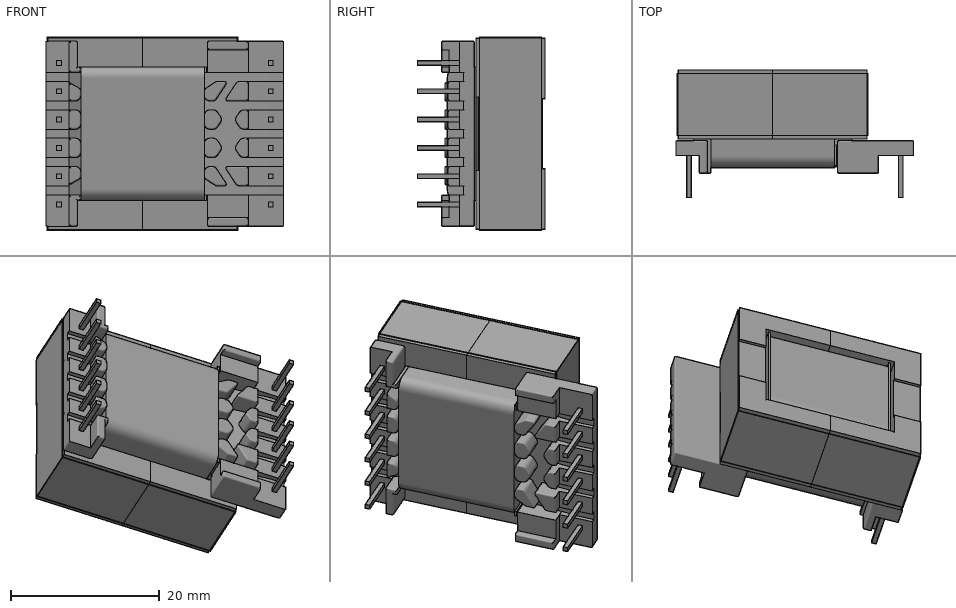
import cadquery as cq
import math


core_half_length = 12.72
core_half_height = 12.865
core_half_depth = 4.655
window_half_length = 9.0
window_half_height = 9.0
leg_half_height = 4.96
leg_back_y = 0.2
back_recess_y = 4.33
front_recess_y = -back_recess_y
back_recess_half_height = 4.7
tape_thickness = 0.12
tape_half_length = core_half_length + tape_thickness
tape_half_height = core_half_height + tape_thickness
tape_half_width = 4.15

winding_half_length = 8.3
winding_half_height = window_half_height
winding_back_y = back_recess_y
winding_front_y = -8.52
winding_corner_radius = 1.5
tube_wall = 0.8

shelf_back_y = -4.87
post_base_y = -5.07
groove_floor_y = -6.32
shelf_front_y = -6.89
block_front_y = -8.26
flange_front_y = -8.2
left_post_front_y = -8.85
right_post_front_y = -8.38
wall_front_y = -9.27
pin_tip_y = -12.535

shelf_half_height = 12.46
left_end_x = -13.025
right_end_x = 18.985
flange_thickness = 0.27
wall_outer_x = -9.87
wall_inner_x = -8.73
block_inner_x = 8.73
block_outer_x = 14.24
lip_height = 1.18
groove_ramp_x = 16.94
channel_half_height = 8.26
edge_radius = 0.2
wall_corner_radius = 0.33
block_corner_radius = 0.22
end_corner_radius = 0.22

left_floor_inner_y = -5.45
right_floor_inner_y = -5.4
plate_end_x = 10.65
plate_back_slope = math.tan(math.radians(30))

pin_pitch = 3.81
pins_per_row = 6
pin_size = 0.64
left_pin_x = -11.25
right_pin_x = 17.25
groove_width = 1.2
post_half_width = (pin_pitch - groove_width) / 2
inner_post_z = pin_pitch / 2
outer_post_z = 3 * pin_pitch / 2
post_round = 0.75
sharp_post_round = 0.25
slanted_post_round = 0.6
middle_point_x = 10.76
outer_point_x = 12.35
point_length = 0.9
slanted_post_side_z = 6.0
left_slant_end_z = 6.88
middle_slant_end_x = 9.9
slot_inner_x = 9.75
slot_outer_x = 11.0
slot_slant_run = 1.72

pin_heights = [(i - (pins_per_row - 1) / 2) * pin_pitch for i in range(pins_per_row)]
groove_heights = [(i - (pins_per_row - 2) / 2) * pin_pitch for i in range(pins_per_row - 1)]


def box(x1, x2, y1, y2, z1, z2):
    """Box between two opposite corners."""
    low = (min(x1, x2), min(y1, y2), min(z1, z2))
    size = (abs(x2 - x1), abs(y2 - y1), abs(z2 - z1))
    return cq.Workplane().box(*size, centered=False).translate(low)


def centred_box(x1, x2, y1, y2, half_height):
    """Box that is symmetric about Z = 0."""
    return box(x1, x2, y1, y2, -half_height, half_height)


def profile_prism(points, half_height):
    """Outline in X and Y, extruded to both sides of Z = 0."""
    return cq.Workplane().polyline(points).close().extrude(half_height, both=True)


def front_plane(y):
    """Sketch plane at the given Y, with X to the right, Z up and -Y outwards."""
    return cq.Workplane("XZ", origin=(0, y, 0))


def mirrored_in_z(shape):
    """The shape together with its mirror image in Z."""
    return shape.union(shape.mirror("XY"))


def make_core_half(side):
    """E-shaped half whose centre leg lies near the front; side is -1 or +1."""
    end_x = side * core_half_length
    yoke_x = side * window_half_length
    half = centred_box(0, end_x, -core_half_depth, core_half_depth, core_half_height)
    half = half.cut(centred_box(0, yoke_x, -core_half_depth, core_half_depth, window_half_height))
    half = half.union(centred_box(0, end_x, front_recess_y, leg_back_y, leg_half_height))
    half = half.cut(centred_box(yoke_x, end_x, -core_half_depth, front_recess_y, leg_half_height))
    return half.cut(
        centred_box(yoke_x, end_x, back_recess_y, core_half_depth, back_recess_half_height)
    )


def make_tape():
    outer = centred_box(
        -tape_half_length, tape_half_length, -tape_half_width, tape_half_width, tape_half_height
    )
    inner = centred_box(
        -core_half_length, core_half_length, -tape_half_width, tape_half_width, core_half_height
    )
    return outer.cut(inner)


def make_tube(half_length):
    """Solid tube body around the centre leg, before the leg hole is cut."""
    return centred_box(
        -half_length,
        half_length,
        front_recess_y - tube_wall,
        leg_back_y + tube_wall,
        leg_half_height + tube_wall,
    )


def make_winding():
    coil = centred_box(
        -winding_half_length,
        winding_half_length,
        winding_front_y,
        winding_back_y,
        winding_half_height,
    )
    coil = coil.edges("|X").fillet(winding_corner_radius)
    return coil.cut(make_tube(winding_half_length))


def make_spool():
    """Tube through the winding with a flange at each end, opened where the wires pass."""
    flange_outer_x = winding_half_length + flange_thickness
    spool = make_tube(flange_outer_x)
    for side in (-1, 1):
        spool = spool.union(
            centred_box(
                side * winding_half_length,
                side * flange_outer_x,
                flange_front_y,
                winding_back_y,
                winding_half_height,
            )
        )
    for side, inner_y in ((-1, left_floor_inner_y), (1, right_floor_inner_y)):
        spool = spool.cut(
            centred_box(
                side * winding_half_length,
                side * flange_outer_x,
                inner_y,
                flange_front_y,
                channel_half_height,
            )
        )
    return spool


def make_floor_plates():
    """Plates that slope from the winding out to the shelves, seated on the core."""
    plates = cq.Workplane()
    recess_x = plate_end_x - (front_recess_y - shelf_back_y) / plate_back_slope
    for side, outer_x, inner_y in (
        (-1, wall_outer_x, left_floor_inner_y),
        (1, groove_ramp_x, right_floor_inner_y),
    ):
        plate_end = (side * plate_end_x, shelf_back_y)
        front_points = [
            (side * winding_half_length, inner_y),
            (outer_x, groove_floor_y),
            (outer_x, shelf_back_y),
        ]
        wide = profile_prism(
            front_points
            + [
                plate_end,
                (side * plate_end_x, -core_half_depth),
                (side * winding_half_length, -core_half_depth),
            ],
            winding_half_height,
        )
        narrow = profile_prism(
            front_points
            + [
                plate_end,
                (side * recess_x, front_recess_y),
                (side * winding_half_length, front_recess_y),
            ],
            leg_half_height,
        )
        plates = plates.union(wide).union(narrow)
    return plates


def make_shelf(end_x, inner_x, inner_corner_radius):
    """Shelf that holds one row of pins, with its upright corners and back rim rounded."""
    shelf = centred_box(end_x, inner_x, shelf_back_y, shelf_front_y, shelf_half_height)
    inner_side, end_side = ("<X", ">X") if inner_x < end_x else (">X", "<X")
    shelf = shelf.edges(f"|Y and {inner_side}").fillet(inner_corner_radius)
    shelf = shelf.edges(f"|Y and {end_side}").fillet(end_corner_radius)
    return shelf.faces(">Y").edges().fillet(edge_radius)


def make_left_shelf():
    shelf = make_shelf(left_end_x, wall_inner_x, wall_corner_radius)
    shelf = shelf.cut(
        profile_prism(
            [
                (wall_outer_x, groove_floor_y),
                (wall_outer_x, shelf_front_y),
                (wall_inner_x, shelf_front_y),
                (-winding_half_length, left_floor_inner_y),
            ],
            channel_half_height,
        )
    )
    for z in groove_heights:
        shelf = shelf.cut(
            box(
                left_end_x, wall_outer_x, groove_floor_y, shelf_front_y,
                z - groove_width / 2, z + groove_width / 2,
            )
        )
    return shelf


def make_right_shelf():
    shelf = make_shelf(right_end_x, block_inner_x, block_corner_radius)
    floor = [
        (right_end_x, groove_floor_y),
        (groove_ramp_x, groove_floor_y),
        (winding_half_length, right_floor_inner_y),
        (winding_half_length, shelf_front_y),
        (right_end_x, shelf_front_y),
    ]
    for z in groove_heights:
        shelf = shelf.cut(profile_prism(floor, groove_width / 2).translate((0, 0, z)))
    basin = centred_box(0, block_outer_x, 0, shelf_front_y, channel_half_height)
    return shelf.cut(profile_prism(floor, channel_half_height).intersect(basin))


def make_left_walls():
    """L-shaped end walls that stand beside the channel on the left."""
    wall = (
        front_plane(post_base_y)
        .moveTo(wall_outer_x, channel_half_height)
        .lineTo(-winding_half_length, channel_half_height)
        .lineTo(-winding_half_length, winding_half_height)
        .lineTo(wall_inner_x, winding_half_height)
        .lineTo(wall_inner_x, shelf_half_height)
        .lineTo(wall_outer_x, shelf_half_height)
        .close()
        .extrude(post_base_y - wall_front_y)
    )
    outer_corner = cq.selectors.NearestToPointSelector(
        (wall_inner_x, (shelf_back_y + wall_front_y) / 2, shelf_half_height)
    )
    wall = wall.edges(outer_corner).fillet(wall_corner_radius)
    wall = wall.faces("<Y").edges().fillet(edge_radius)
    return mirrored_in_z(wall)


def make_right_blocks():
    """Blocks at both ends of the right shelf, each with a raised outer lip."""
    block = box(
        block_inner_x, block_outer_x, post_base_y, block_front_y,
        channel_half_height, shelf_half_height,
    )
    lip = box(
        block_inner_x, block_outer_x, shelf_front_y, wall_front_y,
        shelf_half_height - lip_height, shelf_half_height,
    )
    block = block.edges("|Y and <X and >Z").fillet(block_corner_radius)
    lip = lip.edges("|Y and <X and >Z").fillet(block_corner_radius)
    lip = lip.faces("<Y").edges().fillet(edge_radius)
    return mirrored_in_z(block.union(lip))


def make_post(corners, front_y):
    """Post rising from inside the floor plate; each corner is (x, z, radius), and 0 keeps it sharp."""
    height = post_base_y - front_y
    post = front_plane(post_base_y).polyline([(x, z) for x, z, _ in corners]).close().extrude(height)
    for x, z, radius in corners:
        if radius > 0:
            corner = cq.selectors.NearestToPointSelector((x, post_base_y - height / 2, z))
            post = post.edges(corner).fillet(radius)
    return post.faces("<Y").edges().fillet(edge_radius)


def make_round_posts():
    """Blunt and pointed posts beside the two middle pin pairs."""
    low = inner_post_z - post_half_width
    high = inner_post_z + post_half_width
    left = make_post(
        [
            (wall_outer_x, low, 0),
            (-winding_half_length, low, post_round),
            (-winding_half_length, high, post_round),
            (wall_outer_x, high, 0),
        ],
        left_post_front_y,
    )
    middle = make_post(
        [
            (winding_half_length, low, post_round),
            (middle_point_x - point_length, low, post_round),
            (middle_point_x, inner_post_z, post_round),
            (middle_point_x - point_length, high, post_round),
            (winding_half_length, high, post_round),
        ],
        right_post_front_y,
    )
    outer = make_post(
        [
            (block_outer_x, low, 0),
            (outer_point_x + point_length, low, post_round),
            (outer_point_x, inner_post_z, post_round),
            (outer_point_x + point_length, high, post_round),
            (block_outer_x, high, 0),
        ],
        right_post_front_y,
    )
    return mirrored_in_z(left.union(middle).union(outer))


def make_slanted_posts():
    """Posts beside the outer pin pairs, with a slanted wire slot between middle and outer post."""
    low = outer_post_z - post_half_width
    high = outer_post_z + post_half_width
    left = make_post(
        [
            (wall_outer_x, low, 0),
            (-winding_half_length, low, post_round),
            (-winding_half_length, slanted_post_side_z, slanted_post_round),
            (wall_outer_x, left_slant_end_z, 0),
        ],
        left_post_front_y,
    )
    middle = make_post(
        [
            (winding_half_length, low, post_round),
            (slot_inner_x, low, slanted_post_round),
            (slot_inner_x + slot_slant_run, high, sharp_post_round),
            (middle_slant_end_x, high, sharp_post_round),
            (winding_half_length, slanted_post_side_z, slanted_post_round),
        ],
        right_post_front_y,
    )
    outer = make_post(
        [
            (block_outer_x, low, 0),
            (slot_outer_x, low, sharp_post_round),
            (slot_outer_x + slot_slant_run, high, slanted_post_round),
            (block_outer_x, high, 0),
        ],
        right_post_front_y,
    )
    return mirrored_in_z(left.union(middle).union(outer))


def make_pins():
    pins = cq.Workplane()
    half = pin_size / 2
    for x in (left_pin_x, right_pin_x):
        for z in pin_heights:
            pins = pins.union(
                box(x - half, x + half, groove_floor_y, pin_tip_y, z - half, z + half)
            )
    return pins


def make_bobbin():
    bobbin = make_spool()
    for feature in (
        make_floor_plates(),
        make_left_shelf(),
        make_right_shelf(),
        make_left_walls(),
        make_right_blocks(),
        make_round_posts(),
        make_slanted_posts(),
        make_pins(),
    ):
        bobbin = bobbin.union(feature)
    leg_hole = centred_box(
        -window_half_length, window_half_length, front_recess_y, leg_back_y, leg_half_height
    )
    return bobbin.cut(leg_hole)


core_halves = [make_core_half(side) for side in (-1, 1)]
tape = make_tape()
winding = make_winding()
bobbin = make_bobbin()

result = cq.Compound.makeCompound(
    [half.val() for half in core_halves] + [tape.val(), winding.val(), bobbin.val()]
)